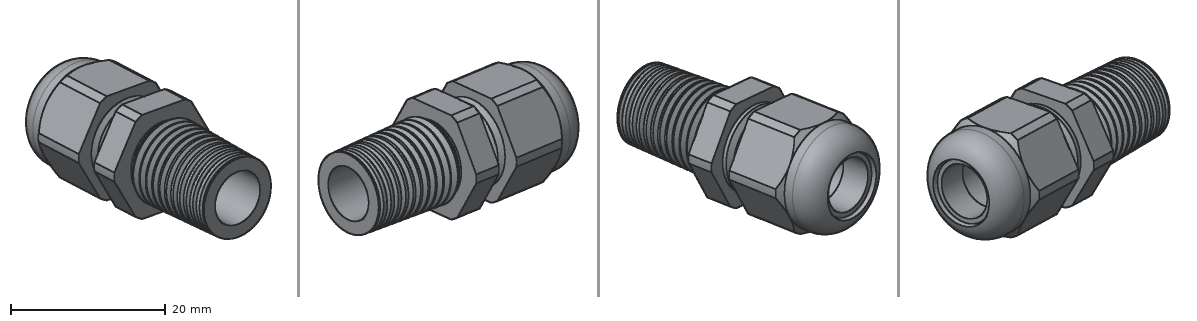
import cadquery as cq
import math


total_length = 36.07
hex_across_flats = 15.0
hex_corner_diameter = 16.63
bore_radius = 3.8

cap_length = 13.92
dome_length = 3.6
collar_end = 4.98
mouth_radius = 4.65
mouth_floor_radius = 4.47
mouth_depth = 0.65
collar_radius = hex_across_flats / 2

spigot_start = collar_end
spigot_radius = 6.15
flange_start = 17.05
flange_end = 21.1

thread_pitch = 1.25
groove_floor_radius = 5.23
groove_slope = (spigot_radius - groove_floor_radius) / (thread_pitch / 2)
groove_overcut = 0.35
groove_top_radius = spigot_radius + groove_overcut

spigot_groove_count = 2
first_spigot_groove = cap_length + thread_pitch / 2

neck_radius = 5.5
neck_length = 0.5
first_taper_groove = flange_end + neck_length
taper_groove_count = 12
taper_start_radius = 6.1
taper_end_radius = 5.65


def revolve_about_x(sketch):
    """Turn a closed XY profile, with Y as the radius, around the X axis."""
    return sketch.close().revolve(360, (0, 0, 0), (1, 0, 0))


def cylinder_x(radius, start, end):
    return cq.Workplane("YZ").workplane(offset=start).circle(radius).extrude(end - start)


def hexagon_x(start, end):
    """Hexagon with flats facing +Z and -Z and corners rounded by a cylinder."""
    point_diameter = hex_across_flats / math.cos(math.pi / 6)
    prism = cq.Workplane("YZ").workplane(offset=start).polygon(6, point_diameter).extrude(end - start)
    return prism.intersect(cylinder_x(hex_corner_diameter / 2, start, end))


def v_groove(center):
    """Ring that cuts one V groove with its floor at the given X."""
    half_width = (groove_top_radius - groove_floor_radius) / groove_slope
    return revolve_about_x(
        cq.Workplane("XY")
        .moveTo(center, groove_floor_radius)
        .lineTo(center + half_width, groove_top_radius)
        .lineTo(center - half_width, groove_top_radius)
    )


def make_cap():
    dome_rise = collar_radius - mouth_radius
    dome_radius = (dome_length**2 + dome_rise**2) / (2 * dome_rise)
    half_angle = math.asin(dome_length / dome_radius) / 2
    arc_middle = (
        dome_length - dome_radius * math.sin(half_angle),
        collar_radius - dome_radius * (1 - math.cos(half_angle)),
    )
    dome_and_collar = revolve_about_x(
        cq.Workplane("XY")
        .lineTo(0, mouth_radius)
        .threePointArc(arc_middle, (dome_length, collar_radius))
        .lineTo(collar_end, collar_radius)
        .lineTo(collar_end, 0)
    )

    cone_end_radius = collar_radius + cap_length - collar_end
    corner_cone = revolve_about_x(
        cq.Workplane("XY")
        .moveTo(collar_end, 0)
        .lineTo(collar_end, collar_radius)
        .lineTo(cap_length, cone_end_radius)
        .lineTo(cap_length, 0)
    )
    grip = hexagon_x(collar_end, cap_length).intersect(corner_cone)

    mouth = revolve_about_x(
        cq.Workplane("XY")
        .lineTo(0, mouth_radius)
        .lineTo(mouth_depth, mouth_floor_radius)
        .lineTo(mouth_depth, 0)
    )
    bore = cylinder_x(bore_radius, 0, cap_length)
    spigot_socket = cylinder_x(spigot_radius, spigot_start, cap_length)
    return dome_and_collar.union(grip).cut(mouth).cut(bore).cut(spigot_socket)


def make_gland_body():
    spigot = cylinder_x(spigot_radius, spigot_start, flange_start)
    for index in range(spigot_groove_count):
        spigot = spigot.cut(v_groove(first_spigot_groove + index * thread_pitch))

    flange = hexagon_x(flange_start, flange_end)

    tapered_thread = revolve_about_x(
        cq.Workplane("XY")
        .moveTo(flange_end, 0)
        .lineTo(flange_end, neck_radius)
        .lineTo(first_taper_groove, neck_radius)
        .lineTo(first_taper_groove, taper_start_radius)
        .lineTo(total_length, taper_end_radius)
        .lineTo(total_length, 0)
    )
    for index in range(taper_groove_count):
        tapered_thread = tapered_thread.cut(v_groove(first_taper_groove + index * thread_pitch))

    bore = cylinder_x(bore_radius, spigot_start, total_length)
    return spigot.union(flange).union(tapered_thread).cut(bore)


cap = make_cap()
gland_body = make_gland_body()
result = cq.Compound.makeCompound([cap.val(), gland_body.val()])